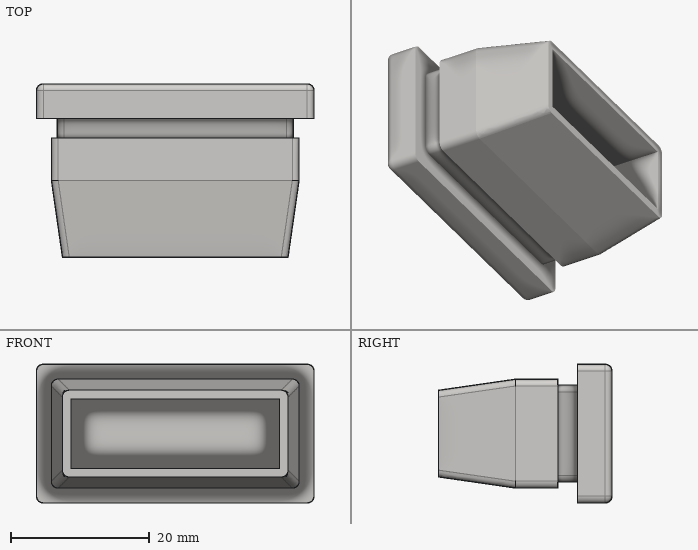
import cadquery as cq


flange_width = 40.0
flange_height = 20.0
total_length = 25.0

flange_thickness = 5.0
groove_length = 2.8
nose_length = 11.1
body_length = total_length - flange_thickness - groove_length - nose_length

groove_inset = 3.0
body_inset = 2.15
tip_inset = 3.75
cavity_inset = 5.0

corner_radius = 1.0

cavity_depth = total_length - flange_thickness

back_y = total_length / 2
flange_y = back_y - flange_thickness
body_back_y = flange_y - groove_length
body_front_y = body_back_y - body_length
tip_y = -total_length / 2


def section_size(inset):
    return flange_width - 2 * inset, flange_height - 2 * inset


def rounded_section(inset):
    return cq.Sketch().rect(*section_size(inset)).vertices().fillet(corner_radius)


def section_plane(y):
    return cq.Workplane("XZ", origin=(0, y, 0))


def straight_block(inset, start_y, length):
    """Rounded rectangular block running from start_y toward -Y."""
    return section_plane(start_y).placeSketch(rounded_section(inset)).extrude(length)


def make_flange():
    flange = straight_block(0, back_y, flange_thickness)
    return flange.faces(">Y").edges().fillet(corner_radius)


def make_nose():
    """Tapered lead-in with its four slanted corners rounded."""
    wide_end = section_plane(body_front_y).rect(*section_size(body_inset))
    tip_end = wide_end.workplane(offset=nose_length).rect(*section_size(tip_inset))
    nose = tip_end.loft(ruled=True)
    return nose.edges("not #Y").fillet(corner_radius)


def make_cavity():
    return section_plane(tip_y).rect(*section_size(cavity_inset)).extrude(-cavity_depth)


groove_neck = straight_block(groove_inset, flange_y, groove_length)
body = straight_block(body_inset, body_back_y, body_length)

result = make_flange().union(groove_neck).union(body).union(make_nose()).cut(make_cavity())